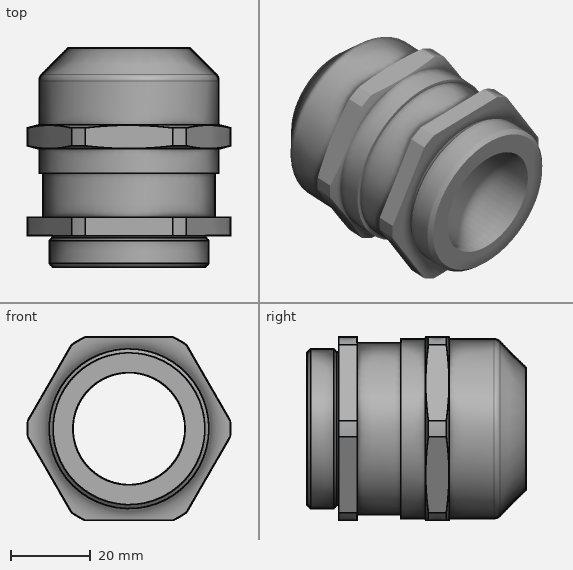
import cadquery as cq
import math

total_length = 55.0
bore_radius = 14.0

thread_radius = 20.0
thread_chamfer = 1.0
thread_end = 6.7
groove_radius = 19.25
groove_start = thread_end + thread_radius - groove_radius

across_flats = 46.0
across_rounded_corners = 51.0
flange_start = 8.0
flange_end = 12.6
cap_hex_start = 29.7
cap_hex_end = 35.75
hex_chamfer_angle = 15.0

body_radius = 21.6
cap_start = 23.6
cap_radius = 22.55
cap_cylinder_end = 46.8
shoulder_radius = 2.2
shoulder_angle = 45.0
nose_edge = 0.2


def to_length_axis(shape):
    """Turn a shape built along Z so that its length runs along +Y."""
    return shape.rotate((0, 0, 0), (1, 0, 0), -90)


def disc(radius, start, end):
    return cq.Workplane("XY").workplane(offset=start).circle(radius).extrude(end - start)


def rounded_hex(start, end):
    """Hexagon with corners on the X axis, turned down to a corner circle."""
    prism = (
        cq.Workplane("XY")
        .workplane(offset=start)
        .polygon(6, across_flats / math.cos(math.pi / 6))
        .extrude(end - start)
    )
    return prism.intersect(disc(across_rounded_corners / 2, start, end))


def chamfered_hex(start, end):
    """Rounded hexagon with both faces sloped back outside the cap radius."""
    corner_radius = across_rounded_corners / 2
    slope_depth = (corner_radius - cap_radius) * math.tan(math.radians(hex_chamfer_angle))
    envelope = (
        cq.Workplane("XZ")
        .moveTo(0, start)
        .lineTo(cap_radius, start)
        .lineTo(corner_radius, start + slope_depth)
        .lineTo(corner_radius, end - slope_depth)
        .lineTo(cap_radius, end)
        .lineTo(0, end)
        .close()
        .revolve(360, (0, 0, 0), (0, 1, 0))
    )
    return rounded_hex(start, end).intersect(envelope)


def shoulder_point(fraction):
    """Radius and station at a fraction of the way round the cap's shoulder arc."""
    angle = math.radians(shoulder_angle * fraction)
    return (
        cap_radius - shoulder_radius * (1 - math.cos(angle)),
        cap_cylinder_end + shoulder_radius * math.sin(angle),
    )


def turned_body():
    """Thread, groove, body and tapered cap as one turned profile."""
    nose_end = total_length - nose_edge
    shoulder_radial, shoulder_end = shoulder_point(1)
    nose_radius = shoulder_radial - (nose_end - shoulder_end) * math.tan(math.radians(shoulder_angle))
    return (
        cq.Workplane("XZ")
        .moveTo(0, 0)
        .lineTo(thread_radius - thread_chamfer, 0)
        .lineTo(thread_radius, thread_chamfer)
        .lineTo(thread_radius, thread_end)
        .lineTo(groove_radius, groove_start)
        .lineTo(groove_radius, flange_start)
        .lineTo(body_radius, flange_start)
        .lineTo(body_radius, cap_start)
        .lineTo(cap_radius, cap_start)
        .lineTo(cap_radius, cap_cylinder_end)
        .threePointArc(shoulder_point(0.5), shoulder_point(1))
        .lineTo(nose_radius, nose_end)
        .lineTo(nose_radius - nose_edge, total_length)
        .lineTo(0, total_length)
        .close()
        .revolve(360, (0, 0, 0), (0, 1, 0))
    )


gland = (
    turned_body()
    .union(rounded_hex(flange_start, flange_end))
    .union(chamfered_hex(cap_hex_start, cap_hex_end))
    .cut(disc(bore_radius, 0, total_length))
)
result = to_length_axis(gland)